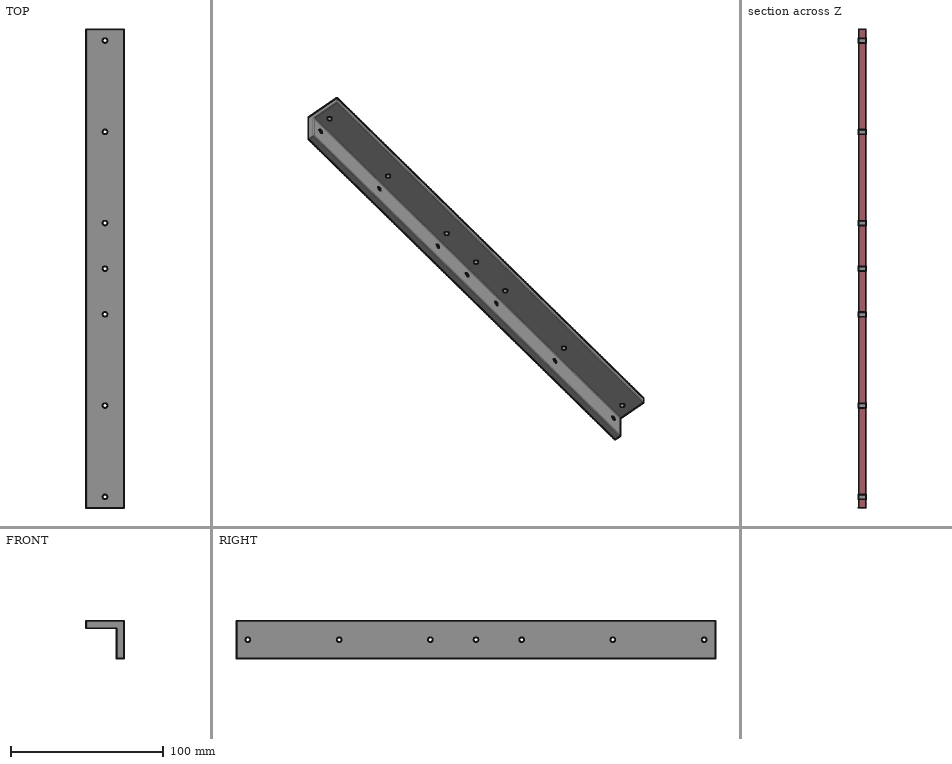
import cadquery as cq

LEG = 25.0
THICKNESS = 5.0
LENGTH = 315.0
EDGE_RADIUS = 0.5

HOLE_DIAMETER = 3.0
END_MARGIN = 7.5
HOLE_PITCH = 60.0
HOLES_PER_SIDE = 3

HALF_LEG = LEG / 2
INNER_FACE = HALF_LEG - THICKNESS
OUTER_HOLE = LENGTH / 2 - END_MARGIN
HOLE_DISTANCES = [OUTER_HOLE - i * HOLE_PITCH for i in range(HOLES_PER_SIDE)]
HOLE_POSITIONS = [0.0] + [side * d for d in HOLE_DISTANCES for side in (-1, 1)]


def angle_bar():
    """L-shaped section extruded symmetrically about the XZ plane, with every edge rounded."""
    return (
        cq.Workplane("XZ")
        .moveTo(-HALF_LEG, HALF_LEG)
        .lineTo(HALF_LEG, HALF_LEG)
        .lineTo(HALF_LEG, -HALF_LEG)
        .lineTo(INNER_FACE, -HALF_LEG)
        .lineTo(INNER_FACE, INNER_FACE)
        .lineTo(-HALF_LEG, INNER_FACE)
        .close()
        .extrude(LENGTH / 2, both=True)
        .edges()
        .fillet(EDGE_RADIUS)
    )


def hole_row(plane, points):
    """Drills that start at the inner face of one leg and pass through it."""
    return (
        cq.Workplane(plane)
        .workplane(offset=INNER_FACE)
        .pushPoints(points)
        .circle(HOLE_DIAMETER / 2)
        .extrude(THICKNESS)
    )


horizontal_leg_holes = hole_row("XY", [(0, y) for y in HOLE_POSITIONS])
vertical_leg_holes = hole_row("YZ", [(y, 0) for y in HOLE_POSITIONS])

result = angle_bar().cut(horizontal_leg_holes).cut(vertical_leg_holes)